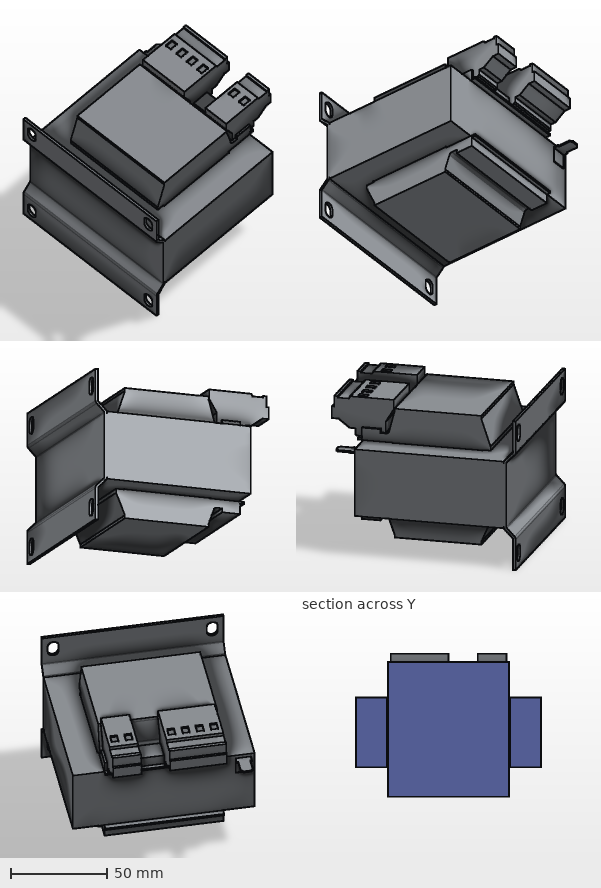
import cadquery as cq
import math


core_width = 96.05
core_height = 36.2
core_depth = 80.2
leg_width = 16.0
yoke_depth = 16.0

sheet = 1.5
plate_height = 80.8
crank_offset = 5.0
crank_start = 17.6
crank_angle = 45.0
bend_inner = 0.6
bend_outer = bend_inner + sheet
slot_width = 5.8
slot_length = 9.0
slot_pitch_x = 84.0
slot_pitch_z = 65.2

bobbin_width = 62.8
upper_winding_height = 36.6
lower_winding_height = 33.4
winding_front = 23.1
winding_back = 69.8
winding_edge = 1.6
skirt_front = 18.1
skirt_height = 2.2
back_slope_foot = 73.1
channel_floor = 22.7
channel_fillet = 1.8
rail_front = 77.4
rail_back = 87.4
rail_top = 24.8
lip_back = 89.6
lip_thickness = 1.1

terminal_width = 15.0
terminal_left_edges = (-30.0, -15.0, 15.1)
terminal_top = 40.9
terminal_front = 70.6
terminal_back = 104.0
nose_front = 94.2
nose_bevel = 0.7
nose_back = 102.7
ridge_front = 100.9
ridge_top = 40.4
nose_floor = 39.6
tail_top = 34.6
tail_bottom = 28.2
belly_back = 100.4
belly_front = 94.3
belly_bottom = 23.7
hook_back = 91.3
hook_bottom = 19.8
hook_chamfer = 0.75
clip_front = 74.9
clip_top = 28.7
chin_bottom = 35.7
entry_width = 3.6
entry_length = 4.8
entry_depth = 1.0
entry_center_y = 88.0

tab_center_x = -42.0
tab_thickness = 0.9
tab_top = 16.1
tab_base_width = 8.1
tab_base_back = 89.6
tab_blade_width = 6.4
tab_blade_back = 97.7
tab_corner = 1.2
tab_foot_thickness = 0.4
tab_foot_bottom = 6.6

core_front = crank_offset + sheet
core_back = core_front + core_depth
core_top = core_height / 2
window_front = core_front + yoke_depth
window_back = core_back - yoke_depth
window_width = core_width - 2 * leg_width

pick_tolerance = 0.05


def box(x_range, y_range, z_range):
    """Axis-aligned box between the given limits."""
    size = [high - low for low, high in (x_range, y_range, z_range)]
    corner = (x_range[0], y_range[0], z_range[0])
    return cq.Workplane("XY").box(*size, centered=False).translate(corner)


def extrude_yz(points, x_start, width):
    """Closed (Y, Z) outline extruded along +X from x_start."""
    return cq.Workplane("YZ").workplane(offset=x_start).polyline(points).close().extrude(width)


def make_core():
    core = box((-core_width / 2, core_width / 2), (core_front, core_back), (-core_top, core_top))
    window = box(
        (-window_width / 2, window_width / 2),
        (window_front, window_back),
        (-core_top, core_top),
    )
    return core.cut(window)


def round_bend(plate, y, z, radius):
    """Round the edge along X that passes through (y, z) and its mirror below."""
    for level in (z, -z):
        selector = cq.selectors.BoxSelector(
            (-core_width, y - pick_tolerance, level - pick_tolerance),
            (core_width, y + pick_tolerance, level + pick_tolerance),
        )
        plate = plate.edges(selector).fillet(radius)
    return plate


def make_mounting_plate():
    half_height = plate_height / 2
    crank_end = crank_start + crank_offset / math.tan(math.radians(crank_angle))
    back_shift = sheet * math.tan(math.radians(crank_angle / 2))
    upper = [
        (core_front, crank_start + back_shift),
        (sheet, crank_end + back_shift),
        (sheet, half_height),
        (0, half_height),
        (0, crank_end),
        (crank_offset, crank_start),
    ]
    lower = [(y, -z) for y, z in reversed(upper)]
    plate = extrude_yz(upper + lower, -core_width / 2, core_width)

    plate = round_bend(plate, 0, crank_end, bend_outer)
    plate = round_bend(plate, sheet, crank_end + back_shift, bend_inner)
    plate = round_bend(plate, crank_offset, crank_start, bend_inner)
    plate = round_bend(plate, core_front, crank_start + back_shift, bend_outer)

    slots = (
        cq.Workplane("XZ")
        .rarray(slot_pitch_x, slot_pitch_z, 2, 2)
        .slot2D(slot_length, slot_width, 90)
        .extrude(-sheet)
    )
    return plate.cut(slots)


def make_bobbin_half(winding_top):
    """Winding, terminal rail and rear lip above the core's mid-plane, up to winding_top."""
    outline = [
        (skirt_front, core_top),
        (skirt_front, core_top + skirt_height),
        (winding_front, winding_top - winding_edge),
        (winding_front, winding_top),
        (winding_back, winding_top),
        (winding_back, winding_top - winding_edge),
        (back_slope_foot, channel_floor),
        (rail_front, channel_floor),
        (rail_front, rail_top),
        (rail_back, rail_top),
        (rail_back, core_top + lip_thickness),
        (lip_back, core_top + lip_thickness),
        (lip_back, core_top),
    ]
    body = extrude_yz(outline, -bobbin_width / 2, bobbin_width)
    channel_corner = cq.selectors.BoxSelector(
        (-bobbin_width, back_slope_foot - pick_tolerance, channel_floor - pick_tolerance),
        (bobbin_width, back_slope_foot + pick_tolerance, channel_floor + pick_tolerance),
    )
    body = body.edges(channel_corner).fillet(channel_fillet)

    core_filling = box(
        (-bobbin_width / 2, bobbin_width / 2),
        (window_front, window_back),
        (0, core_top),
    )
    return body.union(core_filling)


def make_terminal(left_edge):
    """One two-pole terminal block clipped over the bobbin rail."""
    outline = [
        (terminal_front, terminal_top),
        (nose_front, terminal_top),
        (nose_front + nose_bevel, nose_floor),
        (ridge_front, nose_floor),
        (ridge_front, ridge_top),
        (nose_back, ridge_top),
        (nose_back, tail_top),
        (terminal_back, tail_top),
        (terminal_back, tail_bottom),
        (belly_back, tail_bottom),
        (belly_front, belly_bottom),
        (hook_back, belly_bottom),
        (hook_back, hook_bottom + hook_chamfer),
        (hook_back - hook_chamfer, hook_bottom),
        (rail_back, hook_bottom),
        (rail_back, rail_top),
        (rail_front, rail_top),
        (rail_front, channel_floor),
        (clip_front, channel_floor),
        (clip_front, clip_top),
        (terminal_front, chin_bottom),
    ]
    block = extrude_yz(outline, left_edge, terminal_width)
    entries = (
        cq.Workplane("XY")
        .workplane(offset=terminal_top - entry_depth)
        .center(left_edge + terminal_width / 2, entry_center_y)
        .rarray(terminal_width / 2, 1, 2, 1)
        .rect(entry_width, entry_length)
        .extrude(entry_depth)
    )
    return block.cut(entries)


def make_earth_tab():
    def strip(width, y_end, bottom, top):
        x_range = (tab_center_x - width / 2, tab_center_x + width / 2)
        return box(x_range, (core_back, y_end), (bottom, top))

    tab_bottom = tab_top - tab_thickness
    base = strip(tab_base_width, tab_base_back, tab_bottom, tab_top)
    blade = strip(tab_blade_width, tab_blade_back, tab_bottom, tab_top)
    blade = blade.edges("|Z and >Y").chamfer(tab_corner)
    foot = strip(tab_base_width, core_back + tab_foot_thickness, tab_foot_bottom, tab_top)
    return base.union(blade).union(foot)


upper_bobbin = make_bobbin_half(upper_winding_height)
lower_bobbin = make_bobbin_half(lower_winding_height).mirror("XY")
result = make_core().union(make_mounting_plate())
result = result.union(upper_bobbin).union(lower_bobbin)
for edge in terminal_left_edges:
    result = result.union(make_terminal(edge))
result = result.union(make_earth_tab())